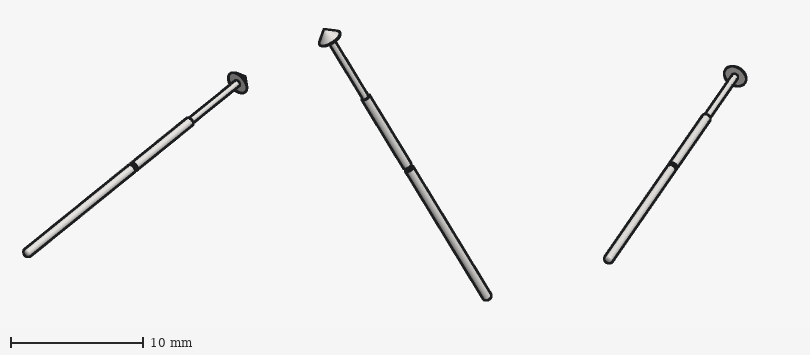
import cadquery as cq

total_length = 26.4
head_radius = 0.9
cone_length = 0.9
rim_thickness = 0.08
plunger_radius = 0.26
plunger_exposed_length = 5.72
barrel_radius = 0.36
groove_width = 0.3
groove_depth = 0.08
groove_setback = 6.85
tail_round = 0.24

head_base = total_length - cone_length - rim_thickness
barrel_mouth = head_base - plunger_exposed_length
groove_centre = barrel_mouth - groove_setback


def make_barrel():
    """Turned barrel with a rounded tail and a crimp groove of V section."""
    tail_flat_radius = barrel_radius - tail_round
    profile = (
        cq.Workplane("XY")
        .lineTo(tail_flat_radius, 0)
        .tangentArcPoint((barrel_radius, tail_round), relative=False)
        .lineTo(barrel_radius, groove_centre - groove_width / 2)
        .lineTo(barrel_radius - groove_depth, groove_centre)
        .lineTo(barrel_radius, groove_centre + groove_width / 2)
        .lineTo(barrel_radius, barrel_mouth)
        .lineTo(0, barrel_mouth)
        .close()
    )
    return profile.revolve(360, (0, 0, 0), (0, 1, 0))


def make_plunger():
    """Plunger rod carrying a conical head with a thin cylindrical rim."""
    profile = (
        cq.Workplane("XY")
        .moveTo(0, barrel_mouth)
        .lineTo(plunger_radius, barrel_mouth)
        .lineTo(plunger_radius, head_base)
        .lineTo(head_radius, head_base)
        .lineTo(head_radius, head_base + rim_thickness)
        .lineTo(0, total_length)
        .close()
    )
    return profile.revolve(360, (0, 0, 0), (0, 1, 0))


result = make_barrel().union(make_plunger())